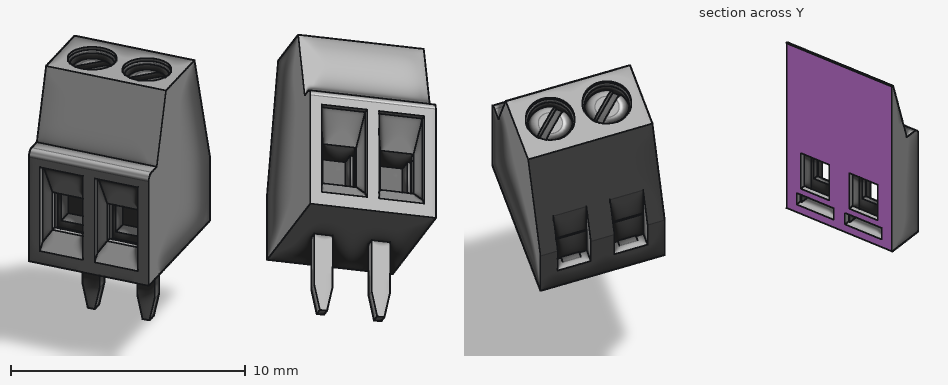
import cadquery as cq
import math


pole_pitch = 2.55
pole_positions = [-pole_pitch / 2, pole_pitch / 2]

overall_height = 12.0
width = 5.58
depth = 6.5
height = 8.52
front_y = -depth / 2
back_y = depth / 2
shoulder_height = 5.33
shoulder_depth = 0.84
shoulder_radius = 0.3
back_wall_height = 3.02
top_front_inset = 1.82
top_back_inset = 1.65

entry_width = 2.0
entry_bottom = 0.6
entry_top = 4.63
entry_straight_depth = 0.3
funnel_end_depth = 0.73
tunnel_width = 1.48
tunnel_bottom = 1.32
tunnel_top = 3.13
tunnel_end_depth = 0.97
chamber_width = 1.78
chamber_bottom = 0.42
chamber_end_depth = 1.65
rear_tunnel_end_depth = 2.4
relief_width = 1.92
relief_length = 0.48
relief_top = 0.98

notch_width = 1.49
notch_depth = 0.6
notch_floor = tunnel_bottom
ledge_depth = 0.05
ramp_run = 0.26
ramp_rise = 0.07

mouth_radius = 1.05
mouth_depth = 0.15
chamfer_radius = 1.0
chamfer_depth = 0.19
lip_radius = 0.95
lip_depth = 0.25
bore_radius = 1.0
undercut_depth = 0.6

dome_flat_radius = 0.52
dome_radius = bore_radius - dome_flat_radius
screw_top = height - 0.35
screw_bottom = shoulder_height
slot_width = 0.41
slot_depth = 0.52
slot_angle = 45

pin_width = 0.82
pin_thickness = 0.49
pin_y = 0.15
pin_length = overall_height - height
pin_straight_length = 2.35
pin_tip_width = 0.32
pin_seat_height = tunnel_bottom


def box_between(x_center, size_x, y_start, y_end, z_start, z_end):
    """Box centred on x_center in X and spanning the given Y and Z ranges."""
    return cq.Workplane("XY").box(size_x, y_end - y_start, z_end - z_start).translate(
        (x_center, (y_start + y_end) / 2, (z_start + z_end) / 2)
    )


def housing_block():
    """Side profile extruded across the poles, with a rounded front shoulder."""
    arc_center_y = front_y + shoulder_radius
    arc_center_z = shoulder_height - shoulder_radius
    arc_offset = shoulder_radius * math.sqrt(0.5)
    return (
        cq.Workplane("YZ", origin=(-width / 2, 0, 0))
        .moveTo(front_y, 0)
        .lineTo(back_y, 0)
        .lineTo(back_y, back_wall_height)
        .lineTo(back_y - top_back_inset, height)
        .lineTo(front_y + top_front_inset, height)
        .lineTo(front_y + shoulder_depth, shoulder_height)
        .lineTo(arc_center_y, shoulder_height)
        .threePointArc((arc_center_y - arc_offset, arc_center_z + arc_offset), (front_y, arc_center_z))
        .close()
        .extrude(width)
    )


def wire_entry(x):
    """Funnelled opening, tunnel, and the wider clamping chamber that crosses it."""
    straight_y = front_y + entry_straight_depth
    funnel_y = front_y + funnel_end_depth
    tunnel_y = front_y + tunnel_end_depth
    chamber_y = front_y + chamber_end_depth
    rear_tunnel_y = front_y + rear_tunnel_end_depth
    passage_heights = (
        cq.Workplane("YZ", origin=(x - entry_width / 2, 0, 0))
        .polyline([
            (front_y, entry_bottom),
            (funnel_y, tunnel_bottom),
            (tunnel_y, tunnel_bottom),
            (tunnel_y, tunnel_top),
            (funnel_y, tunnel_top),
            (straight_y, entry_top),
            (front_y, entry_top),
        ])
        .close()
        .extrude(entry_width)
    )
    half_plan = [
        (entry_width / 2, front_y),
        (entry_width / 2, straight_y),
        (tunnel_width / 2, funnel_y),
        (tunnel_width / 2, tunnel_y),
    ]
    mirrored_plan = [(-half_x, y) for half_x, y in reversed(half_plan)]
    passage_plan = (
        cq.Workplane("XY")
        .polyline(half_plan + mirrored_plan)
        .close()
        .extrude(entry_top)
        .translate((x, 0, 0))
    )
    passage = passage_heights.intersect(passage_plan)
    chamber = box_between(x, chamber_width, tunnel_y, chamber_y, chamber_bottom, tunnel_top)
    rear_tunnel = box_between(x, tunnel_width, chamber_y, rear_tunnel_y, tunnel_bottom, tunnel_top)
    relief = box_between(x, relief_width, chamber_y, chamber_y + relief_length, chamber_bottom, relief_top)
    return passage.union(chamber).union(rear_tunnel).union(relief)


def rear_notch(x):
    """Notch in the back wall, less the ledge and the ramp left standing in it."""
    inner_y = back_y - notch_depth
    notch = box_between(x, notch_width, inner_y, back_y, notch_floor, height)
    ramp = (
        cq.Workplane("YZ", origin=(x - pin_width / 2, 0, 0))
        .polyline([
            (inner_y, notch_floor),
            (inner_y + ramp_run, notch_floor),
            (inner_y, notch_floor + ramp_rise),
        ])
        .close()
        .extrude(pin_width)
    )
    ledge = box_between(x, notch_width, inner_y, inner_y + ledge_depth, notch_floor, back_wall_height)
    return notch.cut(ramp).cut(ledge)


def screw_bore(x):
    """Blind bore with a conical lip that retains the screw head."""
    return (
        cq.Workplane("YZ")
        .polyline([
            (0, height),
            (mouth_radius, height),
            (mouth_radius, height - mouth_depth),
            (chamfer_radius, height - chamfer_depth),
            (lip_radius, height - lip_depth),
            (bore_radius, height - undercut_depth),
            (bore_radius, screw_bottom),
            (0, screw_bottom),
        ])
        .close()
        .revolve(360, (0, 0, 0), (0, 1, 0))
        .translate((x, 0, 0))
    )


def make_screw(x):
    """Domed screw with a driver slot."""
    dome_z = screw_top - dome_radius
    arc_offset = dome_radius * math.sqrt(0.5)
    body = (
        cq.Workplane("YZ")
        .moveTo(0, screw_bottom)
        .lineTo(bore_radius, screw_bottom)
        .lineTo(bore_radius, dome_z)
        .threePointArc((dome_flat_radius + arc_offset, dome_z + arc_offset), (dome_flat_radius, screw_top))
        .lineTo(0, screw_top)
        .close()
        .revolve(360, (0, 0, 0), (0, 1, 0))
    )
    slot = box_between(0, 2 * mouth_radius, -slot_width / 2, slot_width / 2, screw_top - slot_depth, screw_top)
    return body.cut(slot.rotate((0, 0, 0), (0, 0, 1), slot_angle)).translate((x, 0, 0))


def make_pin(x):
    """Flat solder pin with a tapered tip, seated in the housing floor."""
    return (
        cq.Workplane("XZ")
        .polyline([
            (-pin_width / 2, pin_seat_height),
            (pin_width / 2, pin_seat_height),
            (pin_width / 2, -pin_straight_length),
            (pin_tip_width / 2, -pin_length),
            (-pin_tip_width / 2, -pin_length),
            (-pin_width / 2, -pin_straight_length),
        ])
        .close()
        .extrude(pin_thickness / 2, both=True)
        .translate((x, pin_y, 0))
    )


def make_housing(pins):
    """Housing with every pole's openings and a matching seat for each pin."""
    housing = housing_block()
    for x in pole_positions:
        housing = housing.cut(wire_entry(x)).cut(rear_notch(x)).cut(screw_bore(x))
    for pin in pins:
        housing = housing.cut(pin)
    return housing


screws = [make_screw(x) for x in pole_positions]
pins = [make_pin(x) for x in pole_positions]
housing = make_housing(pins)

result = cq.Compound.makeCompound([
    housing.val(),
    *[screw.val() for screw in screws],
    *[pin.val() for pin in pins],
])